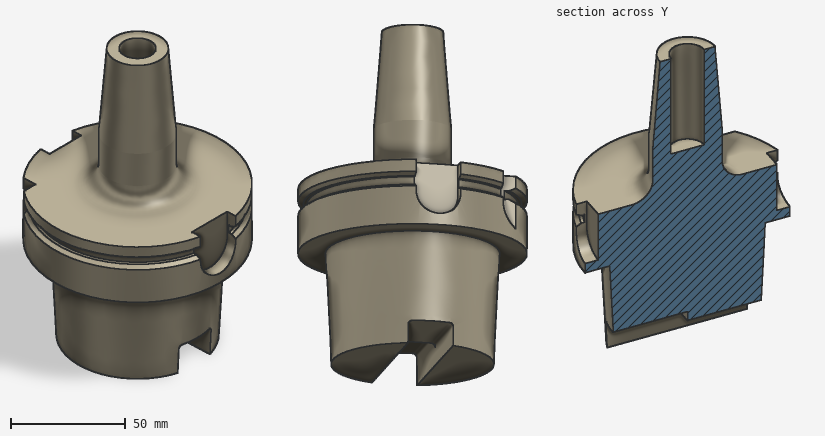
import cadquery as cq

total_height = 150.0
shank_height = 50.0
flange_top = 79.0
neck_top = 105.9

flange_radius = 50.02
shank_taper = 1 / 10
shank_top_radius = 38.1
shank_bottom_radius = shank_top_radius - shank_height * shank_taper / 2
neck_radius = 17.02
nose_radius = 13.5
neck_fillet = 9.98

groove_lower_edge = 67.0
groove_upper_edge = 73.6
groove_floor_radius = 46.0
groove_lip_radius = 47.7
groove_lip = 1.4

bore_diameter = 16.0
bore_depth = 50.0

left_slot_width = 20.0
right_slot_width = 22.2
slot_floor_x = 43.6
slot_bottom = 55.0
notch_corner = 31.5

drive_width = 20.2
drive_height_left = 10.0
drive_height_right = 14.7
drive_corner = 1.8


def turned_body():
    """Shank, grooved flange, neck and tapered nose in one revolved profile."""
    profile = (
        cq.Workplane("XZ")
        .lineTo(shank_bottom_radius, 0)
        .lineTo(shank_top_radius, shank_height)
        .lineTo(flange_radius, shank_height)
        .lineTo(flange_radius, groove_lower_edge)
        .lineTo(groove_lip_radius, groove_lower_edge + groove_lip)
        .lineTo(groove_floor_radius, groove_lower_edge + groove_lip)
        .lineTo(groove_floor_radius, groove_upper_edge - groove_lip)
        .lineTo(groove_lip_radius, groove_upper_edge - groove_lip)
        .lineTo(flange_radius, groove_upper_edge)
        .lineTo(flange_radius, flange_top)
        .lineTo(neck_radius + neck_fillet, flange_top)
        .radiusArc((neck_radius, flange_top + neck_fillet), neck_fillet)
        .lineTo(neck_radius, neck_top)
        .lineTo(nose_radius, total_height)
        .lineTo(0, total_height)
        .close()
    )
    return profile.revolve(360, (0, 0, 0), (0, 1, 0))


def tool_bore():
    """Blind bore in the nose."""
    return (
        cq.Workplane("XY", origin=(0, 0, total_height))
        .circle(bore_diameter / 2)
        .extrude(-bore_depth)
    )


def flange_slot(width, center_y, floor_x, side):
    """Round-bottomed slot from floor_x outwards; side is +1 or -1 along X."""
    radius = width / 2
    arc_height = slot_bottom + radius
    return (
        cq.Workplane("YZ", origin=(floor_x * side, 0, 0))
        .moveTo(center_y - radius, flange_top)
        .lineTo(center_y - radius, arc_height)
        .threePointArc((center_y, slot_bottom), (center_y + radius, arc_height))
        .lineTo(center_y + radius, flange_top)
        .close()
        .extrude(flange_radius * side)
    )


def drive_slot(height, side):
    """Slot across the shank end from the axis outwards, with rounded top corners."""
    return (
        cq.Workplane("XY")
        .box(shank_top_radius, drive_width, height, centered=(False, True, False))
        .edges("|X and >Z")
        .fillet(drive_corner)
        .translate((0 if side > 0 else -shank_top_radius, 0, 0))
    )


result = (
    turned_body()
    .cut(tool_bore())
    .cut(flange_slot(left_slot_width, 0, slot_floor_x, -1))
    .cut(flange_slot(right_slot_width, 0, slot_floor_x, 1))
    .cut(flange_slot(left_slot_width, -notch_corner - left_slot_width / 2, notch_corner, -1))
    .cut(drive_slot(drive_height_left, -1))
    .cut(drive_slot(drive_height_right, 1))
)